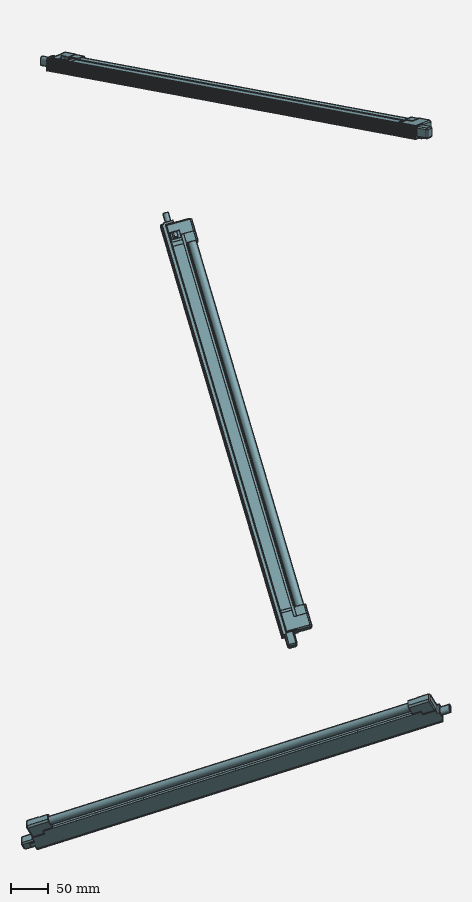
import cadquery as cq

total_length = 622.0
total_depth = 42.0
body_height = 17.0
step = 0.5

rail_start = 15.0
rail_end = 605.0
rail_depth = 7.5
rail_front_bevel = 2.0
fin_count = 5
fin_pitch = body_height / fin_count
fin_groove_height = fin_pitch / 2
fin_groove_depth = 1.0
seam_width = 1.0
seam_depth = 2.5

ballast_back = 22.5
ballast_height = body_height - 2 * step
ledge_back = 26.0
ledge_height = ballast_height - step
tray_back = 28.0
tray_height = 4.0

housing_start = 16.0
housing_end = 603.5
housing_bottom = 2.0
housing_edge_bevel = 2.5
housing_end_bevel = 2.0
left_cover_end = 42.0
right_cover_start = 575.5

socket_outer_left = 35.0
socket_inner_left = 48.0
socket_inner_right = 571.5
socket_outer_right = 584.5
socket_height = body_height - step
tube_diameter = 12.0
tube_center_y = 34.0
tube_center_z = (housing_bottom + body_height) / 2

plug_width = 7.5
plug_height = 13.0
plug_center_y = 11.0
plug_center_z = 9.0
contact_count = 3
contact_diameter = 2.0
contact_pitch = 4.0
contact_depth = 6.0
flange_start = 13.0
flange_front = 4.0
flange_back = 17.5
flange_bevel = 1.0

connector_front = 4.0
connector_back = 17.0
connector_bottom = 2.0
connector_edge_bevel = 2.0
connector_tip_bevel = 2.0
key_length = 5.5
key_front = 7.0
key_back = 13.5

switch_start = 30.5
switch_length = 6.0
switch_front = 11.0
switch_peak_y = 13.0
switch_back = 18.0
switch_back_height = 18.0
switch_top = 20.5
recess_front = 9.0
recess_back = 22.0
recess_depth = 2.5
recess_side_gap = 2.0


def block(x0, x1, y0, y1, z0, z1):
    """Box given by its two limits along each axis."""
    return cq.Workplane("XY").box(x1 - x0, y1 - y0, z1 - z0, centered=False).translate((x0, y0, z0))


def make_rail():
    """Rail with lengthwise grooves in its front face and a seam along its top."""
    rail = block(rail_start, rail_end, 0, rail_depth, 0, body_height)
    rail = rail.edges("|X and <Y and >Z").chamfer(fin_groove_height / 2, rail_front_bevel)
    for i in range(fin_count):
        z0 = i * fin_pitch + (fin_pitch - fin_groove_height) / 2
        rail = rail.cut(block(rail_start, rail_end, 0, fin_groove_depth, z0, z0 + fin_groove_height))
    seam = block(
        rail_start, rail_end, rail_depth - seam_width, rail_depth, body_height - seam_depth, body_height
    )
    return rail.cut(seam)


def make_ballast():
    """Ballast box with a ledge behind it and a low tray under the front of the lamp tube."""
    box = block(housing_start, housing_end, rail_depth, ballast_back, 0, ballast_height)
    ledge = block(socket_outer_left, socket_outer_right, ballast_back, ledge_back, 0, ledge_height)
    tray = block(socket_outer_left, socket_outer_right, ballast_back, tray_back, 0, tray_height)
    return box.union(ledge).union(tray)


def make_housing(x0, x1, outer_face):
    """End housing, bevelled along its back edges and around its outer end."""
    housing = block(x0, x1, rail_depth, total_depth, housing_bottom, body_height)
    housing = housing.edges("|X and >Y").chamfer(housing_edge_bevel)
    return housing.faces(outer_face).edges("not <Y").chamfer(housing_end_bevel)


def make_cover(x0, x1, height):
    """Flat cover joining a housing to the ballast box."""
    return block(x0, x1, rail_depth, ballast_back, housing_bottom, height)


def make_socket(x0, x1):
    """Lamp socket behind the ledge, bevelled like the housings."""
    socket = block(x0, x1, ledge_back, total_depth, housing_bottom, socket_height)
    return socket.edges("|X and >Y").chamfer(housing_edge_bevel)


def make_tube():
    """Lamp tube reaching from housing to housing through both sockets."""
    return (
        cq.Workplane("YZ", origin=(socket_outer_left, tube_center_y, tube_center_z))
        .circle(tube_diameter / 2)
        .extrude(socket_outer_right - socket_outer_left)
    )


def make_plug():
    """Flat-sided plug with rounded top and bottom, a column of contact holes and a flange."""
    plug_face = cq.Workplane("YZ", origin=(0, plug_center_y, plug_center_z))
    plug = plug_face.slot2D(plug_height, plug_width, 90).extrude(housing_start)
    contacts = (
        plug_face.rarray(contact_pitch, contact_pitch, 1, contact_count)
        .circle(contact_diameter / 2)
        .extrude(contact_depth)
    )
    flange = block(flange_start, housing_start, flange_front, flange_back, 0, body_height)
    flange = flange.edges("|Z and <X and <Y").chamfer(flange_bevel)
    return plug.union(flange).cut(contacts)


def make_connector():
    """Box-shaped connector with bevelled long edges and tip, and a key under its root."""
    connector = block(
        housing_end, total_length, connector_front, connector_back, connector_bottom, body_height
    )
    connector = connector.edges("|X").chamfer(connector_edge_bevel)
    connector = connector.faces(">X").chamfer(connector_tip_bevel)
    key = block(housing_end, rail_end + key_length, key_front, key_back, 0, connector_bottom)
    return connector.union(key)


def make_switch_recess():
    """Pocket around the rocker in the top of the left housing."""
    return block(
        switch_start - recess_side_gap,
        switch_start + switch_length + recess_side_gap,
        recess_front,
        recess_back,
        body_height - recess_depth,
        body_height,
    )


def make_switch():
    """Tilted rocker that is highest towards the front."""
    floor = body_height - recess_depth
    outline = [
        (switch_front, floor),
        (switch_back, floor),
        (switch_back, switch_back_height),
        (switch_peak_y, switch_top),
        (switch_front, switch_top),
    ]
    return (
        cq.Workplane("YZ", origin=(switch_start, 0, 0)).polyline(outline).close().extrude(switch_length)
    )


result = (
    make_rail()
    .union(make_ballast())
    .union(make_housing(housing_start, socket_outer_left, "<X"))
    .union(make_housing(socket_outer_right, housing_end, ">X"))
    .union(make_cover(socket_outer_left, left_cover_end, body_height))
    .union(make_cover(left_cover_end, socket_inner_left, socket_height))
    .union(make_cover(right_cover_start, socket_outer_right, body_height))
    .union(make_cover(socket_inner_right, right_cover_start, socket_height))
    .union(make_socket(socket_outer_left, socket_inner_left))
    .union(make_socket(socket_inner_right, socket_outer_right))
    .union(make_tube())
    .cut(make_switch_recess())
    .union(make_switch())
    .union(make_plug())
    .union(make_connector())
)